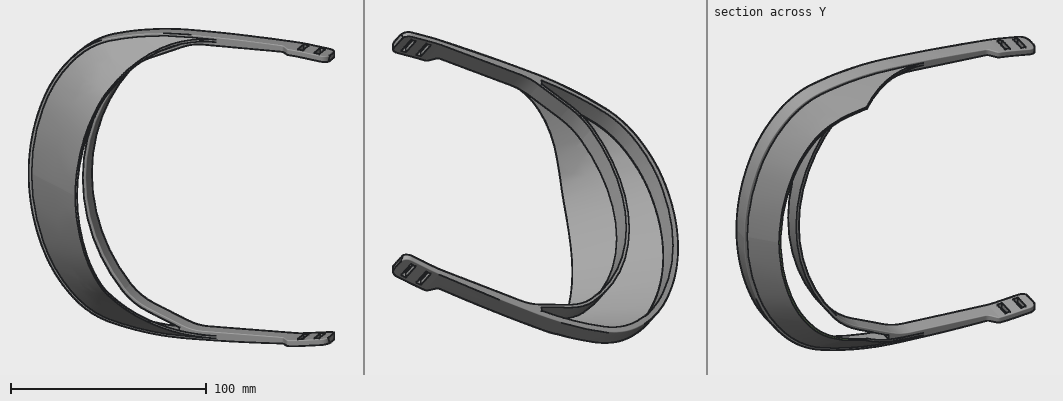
import cadquery as cq
import math


length = 162.0
total_height = 44.4
width = 161.0
half_width = width / 2

front_arcs = [(104.7, 22.8), (71.1, 23.3), (44.9, 29.1)]
tail_arc = (891.4, 3.7)
bend_arc = (107.0, 3.8)

band_height = 10.0
ring_thickness = 3.2
arm_thickness = 3.2
outer_edge_radius = 0.5
tab_height = 15.0
tab_corner_radius = 4.2
step_blend_radius = 2.5
tab_slope_start = 136.5
tab_slope_end = 140.4

slot_width = 2.8
slot_height = 10.0
slot_positions = (146.5, 155.5)
slot_center_y = -tab_height / 2

forehead_radius = 87.5
temple_radius = 34.0
shoulder_radius = 27.5
shoulder_angle = 67.4
shoulder_end_x = 93.2
shoulder_end_z = 75.7
temple_straight = 19.5
headband_thickness = 1.8
gap_end_x = 81.0

visor_inset = 1.3
visor_setback = 0.5
visor_shrink = 0.75
visor_wall = 1.3
visor_drop = total_height - band_height
visor_tip_x = visor_inset + visor_setback + visor_drop
brim_end_x = 100.5
brim_radius = 63.2
brim_angle = math.radians(47.0)
brim_straight = 8.9


def crown_arc():
    """Arc that levels the path off exactly at the widest point."""
    turned = 0.0
    height = 0.0
    for radius, sweep in front_arcs:
        start = math.radians(turned)
        turned += sweep
        height += radius * (math.sin(math.radians(turned)) - math.sin(start))
    radius = (half_width - height) / (1 - math.sin(math.radians(turned)))
    return radius, 90.0 - turned


path_arcs = front_arcs + [crown_arc(), tail_arc, bend_arc]
straight_arm_arcs = len(path_arcs) - 1


def on_circle(center, radius, degrees):
    """Point on a path circle; 0 degrees faces -X and 90 degrees faces +Z."""
    angle = math.radians(degrees)
    return (center[0] - radius * math.cos(angle), center[1] + radius * math.sin(angle))


def path_joints(inset, count):
    """Points and travel directions along the first arcs of the path, moved inward by the inset."""
    turned = 0.0
    center = (path_arcs[0][0], 0.0)
    points = [(inset, 0.0)]
    directions = [(0.0, 1.0)]
    for index, (radius, sweep) in enumerate(path_arcs[:count]):
        if index > 0:
            center = on_circle(center, path_arcs[index - 1][0] - radius, turned)
        for angle in (turned + sweep / 2, turned + sweep):
            points.append(on_circle(center, radius - inset, angle))
            directions.append((math.sin(math.radians(angle)), math.cos(math.radians(angle))))
        turned += sweep
    return points, directions


def half_region(inset, y, setback=0.0):
    """Closed outline between Z = 0 and the path up to the tab bend, at height y, moved back in X."""
    points, directions = path_joints(inset, straight_arm_arcs)
    return (
        cq.Workplane("XZ", origin=(setback, y, 0))
        .moveTo(*points[0])
        .spline(points[1:], tangents=directions, includeCurrent=True)
        .lineTo(points[-1][0], 0)
        .close()
    )


def headband_path(outline, thickness):
    """Draw the headband from the shoulder to Z = 0, moved outward by the thickness."""
    shoulder_center = (shoulder_end_x, shoulder_end_z - shoulder_radius)
    slope = math.radians(shoulder_angle)
    temple_base = on_circle(shoulder_center, shoulder_radius - temple_radius, shoulder_angle)
    temple_center = (
        temple_base[0] - temple_straight * math.sin(slope),
        temple_base[1] - temple_straight * math.cos(slope),
    )
    radius_step = forehead_radius - temple_radius
    joint_angle = math.degrees(math.asin(temple_center[1] / radius_step))
    front_center = (temple_center[0] + radius_step * math.cos(math.radians(joint_angle)), 0.0)

    shoulder = shoulder_radius + thickness
    temple = temple_radius + thickness
    forehead = forehead_radius + thickness
    outline = outline.threePointArc(
        on_circle(shoulder_center, shoulder, (90 + shoulder_angle) / 2),
        on_circle(shoulder_center, shoulder, shoulder_angle),
    )
    outline = outline.lineTo(*on_circle(temple_center, temple, shoulder_angle))
    outline = outline.threePointArc(
        on_circle(temple_center, temple, (shoulder_angle + joint_angle) / 2),
        on_circle(temple_center, temple, joint_angle),
    )
    return outline.threePointArc(
        on_circle(front_center, forehead, joint_angle / 2),
        on_circle(front_center, forehead, 0),
    )


def frame_plan():
    """Half of the ring, arm, tab and headband as one plate of full tab height."""
    outer, directions = path_joints(0, straight_arm_arcs)
    bend_middle, bend_end = path_joints(0, len(path_arcs))[0][-2:]
    inner_start, inner_middle, inner_end = path_joints(arm_thickness, len(path_arcs))[0][-3:]
    slope = math.radians(sum(sweep for _, sweep in path_arcs) - 90)
    tip = (length, bend_end[1] - (length - bend_end[0]) * math.tan(slope))
    inner_tip = (tip[0] - arm_thickness * math.sin(slope), tip[1] - arm_thickness * math.cos(slope))

    outline = cq.Workplane("XZ").moveTo(*outer[0])
    outline = outline.spline(outer[1:], tangents=directions, includeCurrent=True)
    outline = outline.threePointArc(bend_middle, bend_end)
    outline = outline.lineTo(*tip).lineTo(*inner_tip).lineTo(*inner_end)
    outline = outline.threePointArc(inner_middle, inner_start)
    outline = outline.lineTo(shoulder_end_x, shoulder_end_z)
    return headband_path(outline, 0).close().extrude(tab_height)


def frame_side():
    """Side outline of the frame: slim band, sloped step and taller rounded tab."""
    profile = (
        cq.Workplane("XY")
        .polyline([
            (0, 0), (length, 0), (length, -tab_height),
            (tab_slope_end, -tab_height), (tab_slope_start, -band_height), (0, -band_height),
        ])
        .close()
        .extrude(half_width)
    )
    profile = profile.edges("|Z and >X").fillet(tab_corner_radius)
    middle = half_width / 2
    for corner in ((tab_slope_start, -band_height, middle), (tab_slope_end, -tab_height, middle)):
        step_edge = cq.selectors.NearestToPointSelector(corner)
        profile = profile.edges(step_edge).fillet(step_blend_radius)
    return profile


def band_gap():
    """Opening between the ring and the headband."""
    ring_inside = half_region(ring_thickness, 0).extrude(tab_height)
    outline = cq.Workplane("XZ").moveTo(length, 0).lineTo(length, shoulder_end_z + headband_thickness)
    outline = outline.lineTo(shoulder_end_x, shoulder_end_z + headband_thickness)
    head_side = headband_path(outline, headband_thickness).close().extrude(tab_height)
    arm_side = (
        cq.Workplane("XZ")
        .moveTo(gap_end_x, 0)
        .rect(length, 2 * half_width, centered=(False, True))
        .extrude(tab_height)
    )
    return ring_inside.cut(head_side).cut(arm_side)


def strap_slots():
    """Two slots through the tab."""
    centers = [(x, slot_center_y) for x in slot_positions]
    return cq.Workplane("XY").pushPoints(centers).rect(slot_width, slot_height).extrude(half_width)


def visor_cone(inset):
    """Half solid whose outline shrinks and moves back as it drops, 45 degrees at the forehead."""
    shrink = visor_shrink * visor_drop
    setback = visor_setback + (1 - visor_shrink) * visor_drop
    top = half_region(inset, -band_height, visor_setback).wire().val()
    bottom = half_region(inset + shrink, -total_height, setback).wire().val()
    return cq.Workplane(cq.Solid.makeLoft([top, bottom], True))


def brim_side():
    """Side outline kept for the visor: its lower edge sweeps up to the arms."""
    sweep_x = brim_end_x - brim_radius * math.sin(brim_angle)
    sweep_y = -band_height - brim_radius * (1 - math.cos(brim_angle))
    middle_x = brim_end_x - brim_radius * math.sin(brim_angle / 2)
    middle_y = -band_height - brim_radius * (1 - math.cos(brim_angle / 2))
    straight_x = sweep_x - brim_straight * math.cos(brim_angle)
    straight_y = sweep_y - brim_straight * math.sin(brim_angle)
    return (
        cq.Workplane("XY")
        .moveTo(0, -band_height)
        .lineTo(brim_end_x, -band_height)
        .threePointArc((middle_x, middle_y), (sweep_x, sweep_y))
        .lineTo(straight_x, straight_y)
        .tangentArcPoint((visor_tip_x, -total_height), relative=False)
        .lineTo(0, -total_height)
        .close()
        .extrude(half_width)
    )


def visor():
    """Half of the thin visor shell, trimmed along the brim."""
    shell = visor_cone(visor_inset).cut(visor_cone(visor_inset + visor_wall))
    return shell.intersect(brim_side())


frame = frame_plan().intersect(frame_side())
frame = frame.edges("%BSPLINE").fillet(outer_edge_radius)
frame = frame.cut(band_gap()).cut(strap_slots())
half = frame.union(visor())
result = half.union(half.mirror("XY"))